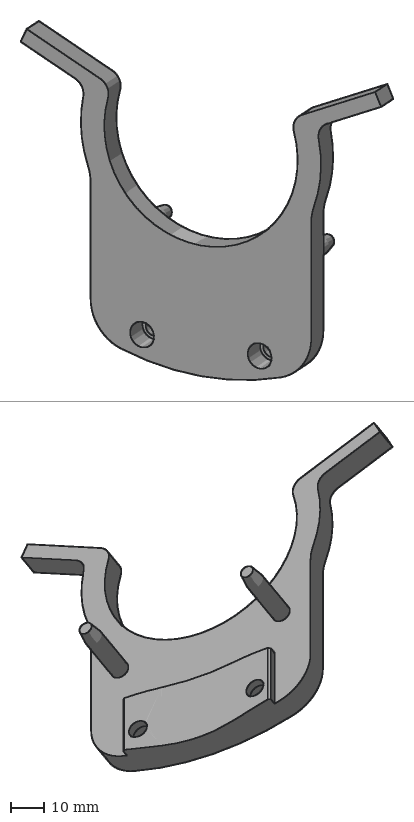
import cadquery as cq
import math

thickness = 8.0
bore_radius = 32.9
cradle_radius = 40.9
half_width = 37.6
bottom_z = -75.0
bottom_radius = 89.7
corner_radius = 15.0
neck_radius = 15.7

span = 122.9
arm_angle = math.radians(25)
arm_thickness = 4.9
arm_tip_top_z = 26.5
arm_fillet = 4.9

pin_x = 27.7
pin_z = -36.4
pin_diameter = 5.8
pin_tip_diameter = 4.2
pin_length = 22.0
pin_taper_length = 4.9

hole_x = 20.0
hole_z = -65.0
hole_front_diameter = 8.1
hole_rear_diameter = 6.0
hole_front_depth = thickness

pad_half_width = 25.3
pad_top_z = -51.0
pad_center_height = 1.0
pad_peak_height = 3.0
pad_peak_x = 24.6
pad_edge_height = 2.3


def circle_z(radius, x):
    """Height above the center of a circle at horizontal offset x."""
    return math.sqrt(radius**2 - x**2)


def extrude_back(sketch, depth):
    """Extrude an XZ sketch toward +Y."""
    return sketch.extrude(-depth)


def make_body():
    corner_center_x = half_width - corner_radius
    bottom_center_z = bottom_z + bottom_radius
    corner_center_z = bottom_center_z - circle_z(bottom_radius - corner_radius, corner_center_x)
    corner_reach = bottom_radius / (bottom_radius - corner_radius)
    corner_end_x = corner_center_x * corner_reach
    corner_end_z = bottom_center_z - circle_z(bottom_radius, corner_end_x)
    corner_mid_x = corner_center_x + corner_radius * math.cos(math.pi / 4)
    corner_mid_z = corner_center_z - corner_radius * math.sin(math.pi / 4)
    neck_z = -circle_z(cradle_radius, half_width)

    def arm_crossing(radius, x, z):
        """Point where the inward arm line from (x, z) meets a circle about the bore axis."""
        along = -x * math.cos(arm_angle) - z * math.sin(arm_angle)
        offset = -x * math.sin(arm_angle) + z * math.cos(arm_angle)
        travel = -along - math.sqrt(radius**2 - offset**2)
        return x - travel * math.cos(arm_angle), z - travel * math.sin(arm_angle)

    tip_low_x = span / 2
    tip_top_x = tip_low_x - arm_thickness * math.sin(arm_angle)
    tip_low_z = arm_tip_top_z - arm_thickness * math.cos(arm_angle)
    outer_x, outer_z = arm_crossing(cradle_radius, tip_low_x, tip_low_z)
    inner_x, inner_z = arm_crossing(bore_radius, tip_top_x, arm_tip_top_z)

    body = extrude_back(
        cq.Workplane("XZ")
        .moveTo(-corner_end_x, corner_end_z)
        .threePointArc((0, bottom_z), (corner_end_x, corner_end_z))
        .threePointArc((corner_mid_x, corner_mid_z), (half_width, corner_center_z))
        .lineTo(half_width, neck_z)
        .threePointArc((cradle_radius, 0), (outer_x, outer_z))
        .lineTo(tip_low_x, tip_low_z)
        .lineTo(tip_top_x, arm_tip_top_z)
        .lineTo(inner_x, inner_z)
        .threePointArc((0, -bore_radius), (-inner_x, inner_z))
        .lineTo(-tip_top_x, arm_tip_top_z)
        .lineTo(-tip_low_x, tip_low_z)
        .lineTo(-outer_x, outer_z)
        .threePointArc((-cradle_radius, 0), (-half_width, neck_z))
        .lineTo(-half_width, corner_center_z)
        .threePointArc((-corner_mid_x, corner_mid_z), (-corner_end_x, corner_end_z))
        .close(),
        thickness,
    )

    def round_edges(solid, x, z, radius):
        """Round the two mirrored thickness-direction edges at (+-x, z)."""
        for side in (-1, 1):
            nearest = cq.selectors.NearestToPointSelector((side * x, thickness / 2, z))
            solid = solid.edges("|Y").edges(nearest).fillet(radius)
        return solid

    body = round_edges(body, half_width, neck_z, neck_radius)
    body = round_edges(body, outer_x, outer_z, arm_fillet)
    return round_edges(body, inner_x, inner_z, arm_fillet)


def make_pad():
    rise = pad_peak_height - pad_center_height
    inflection_x = pad_peak_x / 2
    inflection_y = thickness + pad_center_height + rise / 2
    peak_y = thickness + pad_peak_height
    edge_y = thickness + pad_edge_height
    wave_radius = (inflection_x**2 + (rise / 2) ** 2) / rise
    quarter_x = inflection_x / 2
    crest_x = pad_peak_x - quarter_x
    crest_y = peak_y - wave_radius + circle_z(wave_radius, quarter_x)
    profile = (
        cq.Workplane("XY", origin=(0, 0, bottom_z))
        .moveTo(-pad_half_width, thickness)
        .lineTo(-pad_half_width, edge_y)
        .lineTo(-pad_peak_x, peak_y)
        .threePointArc((-crest_x, crest_y), (-inflection_x, inflection_y))
        .threePointArc((0, thickness + pad_center_height), (inflection_x, inflection_y))
        .threePointArc((crest_x, crest_y), (pad_peak_x, peak_y))
        .lineTo(pad_half_width, edge_y)
        .lineTo(pad_half_width, thickness)
        .close()
    )
    wave = profile.extrude(pad_top_z - bottom_z)
    side_z = bottom_z + bottom_radius - circle_z(bottom_radius, pad_half_width)
    outline = extrude_back(
        cq.Workplane("XZ")
        .moveTo(-pad_half_width, side_z)
        .threePointArc((0, bottom_z), (pad_half_width, side_z))
        .lineTo(pad_half_width, pad_top_z)
        .lineTo(-pad_half_width, pad_top_z)
        .close(),
        thickness + pad_peak_height,
    )
    return wave.intersect(outline)


def make_pin(x):
    """Pin revolved about its own Y axis, rooted on the rear face."""
    radius = pin_diameter / 2
    profile = (
        cq.Workplane("XY", origin=(x, thickness, pin_z))
        .lineTo(radius, 0)
        .lineTo(radius, pin_length - pin_taper_length)
        .lineTo(pin_tip_diameter / 2, pin_length)
        .lineTo(0, pin_length)
        .close()
    )
    return profile.revolve(360, (0, 0, 0), (0, 1, 0))


def make_hole(x):
    """Cutter with a wide bore through the plate and a narrow one through the pad."""
    pad_depth = thickness + pad_peak_height
    start = cq.Workplane("XZ", origin=(x, 0, hole_z))
    wide = extrude_back(start.circle(hole_front_diameter / 2), hole_front_depth)
    narrow = extrude_back(start.circle(hole_rear_diameter / 2), pad_depth)
    return wide.union(narrow)


result = make_body().union(make_pad())
for side in (-1, 1):
    result = result.union(make_pin(side * pin_x))
    result = result.cut(make_hole(side * hole_x))